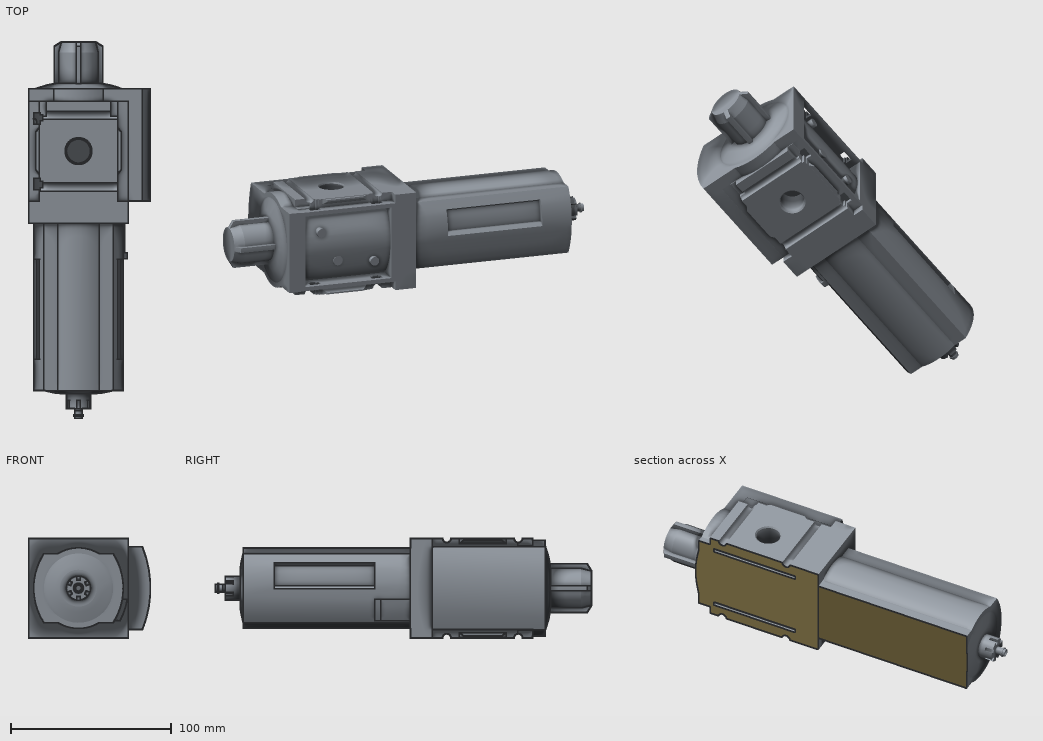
import cadquery as cq
import math


block = 62.0
half = block / 2
block_top = 76.0
foot_height = 13.8
core_half_width = 24.3
ledge_z = 25.5
pad_z = 26.2
pad_y = 66.6
pad_inner_x = 20.0

plate_z = 25.7
plate_top = 83.7
overall_width = 75.8
cover_x = 39.7
cover_tip_x = overall_width - half
boss_radius = 30.0
dome_radius = 26.7
dome_crown = 86.7
dome_mid = (21.0, 85.5)

knob_base = 84.2
knob_tip = 112.7
knob_taper_start = 106.1
knob_radius = 12.5
knob_tip_radius = 10.8
rib_radius = 15.2
rib_taper_start = 110.0
rib_width = 3.0
rib_count = 4

port_y = 45.0
port_diameter = 15.0
port_mouth_diameter = 16.5
port_depth = 18.7
groove_centres = (67.0, 22.7)
groove_radius = 2.5
wedge_reach = 2.0
wedge_top = 30.6
wedge_drop = 3.0
wedge_lip = 1.0
wedge_ends = (30.5, 59.6)
wedge_taper = 2.8

window_ends = (16.4, 73.0)
window_half_height = 23.0
window_floor_x = -17.8
barrel_radius = 29.2
barrel_half_height = 20.8
studs = ((62.2, 10.8, 5.5, -30.6), (50.7, -8.7, 6.0, -28.8), (27.1, -11.0, 5.5, -30.6))

slot_x = (-27.8, -23.5)
slot_ends = ((61.7, 68.7), (20.8, 28.0))
notch_x = (-23.5, -22.2)
notch_ends = ((63.5, 67.5), (22.0, 26.2))

bowl_length = 103.8
bowl_half_width = 27.8
bowl_side_radius = 39.7
bowl_flat_z = 21.5
bowl_crown_radius = 25.0
end_dome_radius = 21.5
end_dome_mid = (16.8, -105.0)
end_face_radius = 11.5
end_face_y = -105.7
sight_ends = (-84.5, -22.2)
sight_depth = 4.2
sight_bevel_x = 26.0
sight_outer_z = (-0.5, 16.0)
sight_inner_z = (1.6, 14.0)

latch_length = 22.0
latch_z = (-20.0, -6.8)
latch_height = 1.5
latch_ridge_height = 3.0
latch_ridge_start = 18.2

drain_end = -115.0
drain_diameter = 15.0
drain_slot_root_diameter = 10.0
drain_slot_width = 2.3
drain_slot_start = -110.0
drain_slot_count = 6
overall_length = 233.8
pin_end = knob_tip - overall_length
pin_diameter = 5.0
pin_bore = 3.7
pin_bore_depth = 4.7
collar_diameter = 6.0
collar_ends = (-119.7, -119.0)

over = 2.3


def box(x, y, z):
    """Box between pairs of limits."""
    corner = cq.Vector(x[0], y[0], z[0])
    return cq.Workplane(obj=cq.Solid.makeBox(x[1] - x[0], y[1] - y[0], z[1] - z[0], corner))


def section(y):
    """Sketch plane across the axis at Y, with local x = X and local y = Z; extrudes towards -Y."""
    return cq.Workplane("XZ", origin=(0, y, 0))


def cylinder(radius, y):
    """Cylinder on the Y axis between two Y limits."""
    return section(y[1]).circle(radius).extrude(y[1] - y[0])


def revolve_profile(profile):
    """Turn a closed XY profile about the Y axis."""
    return profile.close().revolve(360, (0, 0, 0), (0, 1, 0))


def both_z(shape):
    """A shape together with its mirror image below Z = 0."""
    return shape.union(shape.mirror("XY"))


def side_arc_x(z, radius=bowl_side_radius):
    """Distance from the axis of the bowl side arc, or of an arc concentric with it."""
    return bowl_half_width - bowl_side_radius + math.sqrt(radius**2 - z**2)



def port_block():
    """Foot, ledges and port blocks of the housing."""
    foot = box((-half, half), (0, foot_height), (-half, half))
    ledges = box((-half, half), (0, plate_top), (-ledge_z, ledge_z))
    ports = box((-core_half_width, core_half_width), (0, block_top), (-half, half))
    body = foot.union(ledges).union(ports)
    for x in ((-core_half_width, -pad_inner_x), (pad_inner_x, core_half_width)):
        body = body.cut(both_z(box(x, (pad_y, block_top), (pad_z, half + over))))
    return body


def plate_and_cover():
    """End plate, the curved cover on the +X side and the round boss of the plate."""
    plate = box((-half, half), (block_top, plate_top), (-plate_z, plate_z))
    cover = (
        section(plate_top)
        .moveTo(half, -plate_z)
        .lineTo(cover_x, -plate_z)
        .threePointArc((cover_tip_x, 0), (cover_x, plate_z))
        .lineTo(half, plate_z)
        .close()
        .extrude(plate_top - foot_height)
    )
    boss_half_width = math.sqrt(boss_radius**2 - plate_z**2)
    boss = cylinder(boss_radius, (block_top, plate_top)).intersect(
        box((-boss_half_width, boss_half_width), (block_top, plate_top), (-half, half))
    )
    return plate.union(cover).union(boss)


def dome():
    return revolve_profile(
        cq.Workplane("XY")
        .moveTo(0, block_top)
        .lineTo(dome_radius, block_top)
        .lineTo(dome_radius, plate_top)
        .threePointArc(dome_mid, (0, dome_crown))
    )


def tapered_post(radius, taper_start):
    """Round post on the Y axis that narrows to the knob tip."""
    return revolve_profile(
        cq.Workplane("XY")
        .moveTo(0, knob_base)
        .lineTo(radius, knob_base)
        .lineTo(radius, taper_start)
        .lineTo(knob_tip_radius, knob_tip)
        .lineTo(0, knob_tip)
    )


def knob():
    """Grip with radial ribs."""
    grip = tapered_post(knob_radius, knob_taper_start)
    rib_blank = tapered_post(rib_radius, rib_taper_start)
    for i in range(rib_count):
        slab = box((0, rib_radius), (knob_base, knob_tip), (-rib_width / 2, rib_width / 2))
        slab = slab.rotate((0, 0, 0), (0, 1, 0), i * 360 / rib_count)
        grip = grip.union(rib_blank.intersect(slab))
    return grip


def port():
    """Blind port in the +Z face with a chamfered mouth."""
    chamfer = (port_mouth_diameter - port_diameter) / 2
    bore = cq.Workplane(origin=(0, port_y, half - port_depth)).circle(port_diameter / 2).extrude(port_depth)
    mouth = (
        cq.Workplane(origin=(0, port_y, half))
        .circle(port_mouth_diameter / 2)
        .workplane(offset=-chamfer)
        .circle(port_diameter / 2)
        .loft()
    )
    return bore.union(mouth)


def groove(y):
    """Round groove across the +Z port block."""
    return (
        cq.Workplane("YZ", origin=(-core_half_width, y, half))
        .circle(groove_radius)
        .extrude(2 * core_half_width)
    )


def side_wedge():
    """Undercut wedge along the upper -X edge of the port block, tapered at both ends."""
    tip_x = -core_half_width - wedge_reach
    profile = (
        section(wedge_ends[1])
        .moveTo(-core_half_width, wedge_top)
        .lineTo(tip_x, wedge_top)
        .lineTo(tip_x, wedge_top - wedge_lip)
        .lineTo(-core_half_width, wedge_top - wedge_drop)
        .close()
        .extrude(wedge_ends[1] - wedge_ends[0])
    )
    plan = (
        cq.Workplane(origin=(0, 0, wedge_top - wedge_drop))
        .moveTo(-core_half_width, wedge_ends[0])
        .lineTo(tip_x, wedge_ends[0] + wedge_taper)
        .lineTo(tip_x, wedge_ends[1] - wedge_taper)
        .lineTo(-core_half_width, wedge_ends[1])
        .close()
        .extrude(wedge_drop)
    )
    return profile.intersect(plan)


def window():
    """Window in the -X side, around a round barrel with three studs."""
    opening = box((-half - over, window_floor_x), window_ends, (-window_half_height, window_half_height))
    edge_x = -math.sqrt(barrel_radius**2 - barrel_half_height**2)
    barrel = (
        section(window_ends[1])
        .moveTo(window_floor_x, -barrel_half_height)
        .lineTo(edge_x, -barrel_half_height)
        .threePointArc((-barrel_radius, 0), (edge_x, barrel_half_height))
        .lineTo(window_floor_x, barrel_half_height)
        .close()
        .extrude(window_ends[1] - window_ends[0])
    )
    cutter = opening.cut(barrel)
    for y, z, diameter, end_x in studs:
        stud = cq.Workplane("YZ", origin=(end_x, y, z)).circle(diameter / 2).extrude(window_floor_x - end_x)
        cutter = cutter.cut(stud)
    return cutter


def connector_slots():
    """Slots through the upper -X ledge, each with a notch into the port block."""
    z = (window_half_height, half + over)
    near_pair, far_pair = [
        box(slot_x, slot_y, z).union(box(notch_x, notch_y, z))
        for slot_y, notch_y in zip(slot_ends, notch_ends)
    ]
    return near_pair.union(far_pair)


def make_housing():
    body = port_block().union(plate_and_cover()).union(dome()).union(knob())
    wedge = both_z(side_wedge())
    body = body.union(wedge).union(wedge.mirror("YZ"))
    for y in groove_centres:
        body = body.cut(both_z(groove(y)))
    return body.cut(both_z(port())).cut(window()).cut(both_z(connector_slots()))



def bowl_guard():
    """Bowl with curved sides, flats and a round crown above and below."""
    corner_x = side_arc_x(bowl_flat_z)
    guard = (
        section(0)
        .moveTo(-corner_x, -bowl_flat_z)
        .lineTo(corner_x, -bowl_flat_z)
        .threePointArc((bowl_half_width, 0), (corner_x, bowl_flat_z))
        .lineTo(-corner_x, bowl_flat_z)
        .threePointArc((-bowl_half_width, 0), (-corner_x, -bowl_flat_z))
        .close()
        .extrude(bowl_length)
    )
    return guard.union(cylinder(bowl_crown_radius, (-bowl_length, 0)))


def end_dome():
    """Shallow domed end of the bowl with a flat face for the drain."""
    return revolve_profile(
        cq.Workplane("XY")
        .moveTo(0, -bowl_length)
        .lineTo(end_dome_radius, -bowl_length)
        .threePointArc(end_dome_mid, (end_face_radius, end_face_y))
        .lineTo(0, end_face_y)
    )


def sight_recess():
    """Recess in the +X side: bevelled below, sloping above, floor concentric with the side."""
    floor_radius = bowl_side_radius - sight_depth
    outer_low, outer_high = sight_outer_z
    inner_low, inner_high = sight_inner_z
    inner_mid = (inner_low + inner_high) / 2
    clear_x = bowl_half_width + over
    return (
        section(sight_ends[1])
        .moveTo(clear_x, outer_low)
        .lineTo(side_arc_x(outer_low), outer_low)
        .lineTo(sight_bevel_x, inner_low)
        .lineTo(side_arc_x(inner_low, floor_radius), inner_low)
        .threePointArc(
            (side_arc_x(inner_mid, floor_radius), inner_mid),
            (side_arc_x(inner_high, floor_radius), inner_high),
        )
        .lineTo(side_arc_x(outer_high), outer_high)
        .lineTo(clear_x, outer_high)
        .close()
        .extrude(sight_ends[1] - sight_ends[0])
    )


def latch_layer(height, y):
    """Layer raised on the curved +X side of the bowl."""
    centre_x = bowl_half_width - bowl_side_radius
    layer = section(y[1]).center(centre_x, 0).circle(bowl_side_radius + height).extrude(y[1] - y[0])
    return layer.intersect(box((bowl_flat_z, half), y, latch_z))


def latch():
    """Bowl latch with a finger ridge at its free end."""
    slide = latch_layer(latch_height, (-latch_length, 0))
    return slide.union(latch_layer(latch_ridge_height, (-latch_length, -latch_ridge_start)))


def drain():
    """Slotted drain screw with a hollow, collared pin."""
    screw = cylinder(drain_diameter / 2, (drain_end, end_face_y))
    for i in range(drain_slot_count):
        slot = box(
            (-drain_slot_width / 2, drain_slot_width / 2),
            (drain_end, drain_slot_start),
            (drain_slot_root_diameter / 2, drain_diameter),
        )
        screw = screw.cut(slot.rotate((0, 0, 0), (0, 1, 0), i * 360 / drain_slot_count))
    pin = cylinder(pin_diameter / 2, (pin_end, drain_end)).union(cylinder(collar_diameter / 2, collar_ends))
    return screw.union(pin).cut(cylinder(pin_bore / 2, (pin_end, pin_end + pin_bore_depth)))


def make_bowl():
    recess = sight_recess()
    body = bowl_guard().union(end_dome()).union(latch())
    return body.cut(recess).cut(recess.mirror("YZ")).union(drain())


housing = make_housing()
bowl = make_bowl()

result = cq.Compound.makeCompound([housing.val(), bowl.val()])